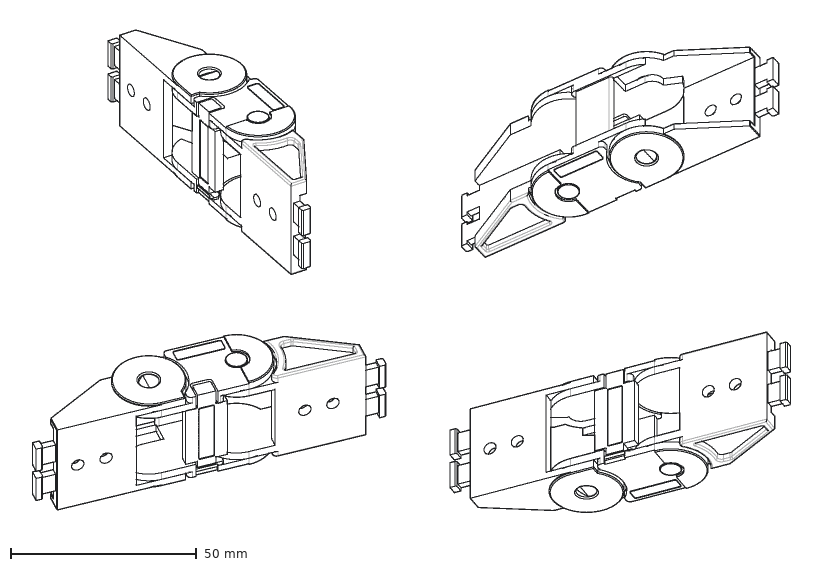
import cadquery as cq
import math

half_length = 50.2
left_hinge_x = -14.2
right_hinge_x = 10.8
knuckle_radius = 10.08
back_y = -knuckle_radius

inner_z = 10.0
split_z = 12.4
face_z = 14.4
disc_z = 15.0

plate_end_x = 44.2
plate_front_y = -7.2
slope_start_x = 26.3
shoulder_y = 5.0
end_height_y = -5.1
left_window_x = -21.5
right_window_x = 18.3
foot_reach = 6.9
left_relief_reach = 7.6
right_relief_reach = 7.0
relief_radius = 10.8
foot_fillet = 1.2
plate_edge_fillet = 0.5
end_chamfer = 0.2
disc_chamfer = 0.3

hole_radius = 1.76
left_holes_x = (-38.2, -30.1)
right_holes_x = (26.8, 34.8)

lug_z = (5.3, -5.2)
lug_head_width = 8.0
lug_neck_width = 6.0
lug_head_length = 2.0
lug_neck_y = (-9.2, -7.2)
lug_chamfer = 0.4

left_boss_radius = 2.8
left_hole_chamfer = 0.4
ramp_offset = 0.7
ramp_drop = 1.2
right_boss_radius = 3.0
right_boss_z = 14.7
right_boss_chamfer = 0.2
disc_recess_radius = 3.6

pocket_slope_margin = 1.5
pocket_low_y = -8.0
pocket_top_y = 2.5
pocket_end_x = 42.1
pocket_arc_radius = 13.3
pocket_low_radius = 0.4
pocket_top_radius = 1.2
pocket_rim_fillet = 0.5

bridge_x = (-9.3, 2.2)
bridge_y = (7.9, 9.6)
finger_top_y = 2.5
finger_round = 3.5
finger_rim_y = -3.2
finger_root_y = finger_top_y - finger_round
knuckle_step_x = -9.0
lip_y = 8.6
finger_shift = 1.2
label_length = 13.8
label_width = 3.6
label_center = (2.8, 7.3)
label_depth = 0.2
label_corner_radius = 0.5

latch_back_y = -9.78
latch_x = (-7.2, 4.7)
latch_z = (-9.4, 9.9)
neck_x = (-3.8, 1.4)
slot_x = (-4.3, 1.9)
slot_top_y = -4.7
tab_top_y = -5.6
slot_corner_radius = 0.9
tab_corner_radius = 0.6
tongue_z = -11.6
seat_z = -11.7
panel_width = 4.4
panel_length = 18.3
panel_depth = 0.3
panel_corner_radius = 0.4
rib_crest_z = (-12.7, -12.3)
rib_depth = 0.6
notch_z = -13.2


def box(x_range, y_range, z_range):
    """Axis-aligned block between pairs of limits."""
    (x0, x1), (y0, y1), (z0, z1) = x_range, y_range, z_range
    return cq.Workplane("XY").box(x1 - x0, y1 - y0, z1 - z0, centered=False).translate((x0, y0, z0))


def disc(x, radius, z0, z1):
    """Round disc about a hinge axis at X = x."""
    return cq.Workplane("XY", origin=(x, 0, z0)).circle(radius).extrude(z1 - z0)


def mirrored(upper):
    """The given shape together with its mirror image below Z = 0."""
    return upper.union(upper.mirror("XY"))


def slope_outline(side, inner_x):
    """Side outline of an end link; side is -1 for the left link and 1 for the right one."""
    return cq.Workplane("XY").polyline([
        (inner_x, back_y),
        (side * plate_end_x, back_y),
        (side * plate_end_x, end_height_y),
        (side * slope_start_x, shoulder_y),
        (inner_x, shoulder_y),
    ]).close()


def lugs(side):
    """Two T-shaped lugs that stand out from the end of a link."""
    head_x = sorted((side * half_length, side * (half_length - lug_head_length)))
    neck_ends = sorted((side * plate_end_x, side * (half_length - lug_head_length)))
    chamfered_edges = "|Z and >X" if side > 0 else "|Z and >X and <Y"
    pair = cq.Workplane("XY")
    for z in lug_z:
        head_limits = (z - lug_head_width / 2, z + lug_head_width / 2)
        neck_limits = (z - lug_neck_width / 2, z + lug_neck_width / 2)
        head = box(head_x, (back_y, plate_front_y), head_limits)
        pair = pair.union(head.edges(chamfered_edges).chamfer(lug_chamfer))
        pair = pair.union(box(neck_ends, lug_neck_y, neck_limits))
    return pair


def plate_holes(xs):
    """Round holes through the plate of an end link."""
    points = [(x, 0) for x in xs]
    return (cq.Workplane("XZ", origin=(0, plate_front_y, 0))
            .pushPoints(points).circle(hole_radius).extrude(plate_front_y - back_y))


def make_left_link():
    foot_x = left_hinge_x + foot_reach
    cheek = slope_outline(-1, left_hinge_x).extrude(face_z - split_z).translate((0, 0, split_z))
    foot = box((left_hinge_x, foot_x), (back_y, plate_front_y), (split_z, disc_z))
    raised_disc = disc(left_hinge_x, knuckle_radius, split_z, disc_z).union(foot)
    cheek = cheek.union(raised_disc.faces(">Z").edges().chamfer(disc_chamfer))
    hole = disc(left_hinge_x, left_boss_radius, split_z, disc_z)
    rim = disc(left_hinge_x, left_boss_radius + left_hole_chamfer, disc_z - left_hole_chamfer, disc_z)
    cheek = cheek.cut(hole).cut(rim.faces("<Z").edges().chamfer(0.99 * left_hole_chamfer))
    plate = box((-plate_end_x, left_window_x), (back_y, plate_front_y), (-face_z, face_z))
    plate = plate.cut(plate_holes(left_holes_x))
    link = plate.union(mirrored(cheek)).faces("<X").edges().chamfer(end_chamfer)
    return link.union(lugs(-1))


def pocket():
    """Triangular pocket sunk into the upper face, down to the split layer."""
    slope = (end_height_y - shoulder_y) / (plate_end_x - slope_start_x)
    shift = pocket_slope_margin * math.hypot(1, slope)
    end_y = shoulder_y - shift + slope * (pocket_end_x - slope_start_x)
    top_x = slope_start_x + (pocket_top_y - shoulder_y + shift) / slope

    def arc_x(y):
        return right_hinge_x + math.sqrt(pocket_arc_radius ** 2 - y ** 2)

    mid_y = (pocket_low_y + pocket_top_y) / 2
    outline = (cq.Workplane("XY")
               .moveTo(arc_x(pocket_low_y), pocket_low_y)
               .lineTo(pocket_end_x, pocket_low_y)
               .lineTo(pocket_end_x, end_y)
               .lineTo(top_x, pocket_top_y)
               .lineTo(arc_x(pocket_top_y), pocket_top_y)
               .threePointArc((arc_x(mid_y), mid_y), (arc_x(pocket_low_y), pocket_low_y))
               .close())
    block = outline.extrude(face_z - split_z).translate((0, 0, split_z))
    block = block.edges("|Z and <Y").fillet(pocket_low_radius)
    return block.edges("|Z and >Y").fillet(pocket_top_radius)


def make_right_link():
    relief_x = right_hinge_x + right_relief_reach
    outer = slope_outline(1, relief_x).extrude(face_z - split_z).translate((0, 0, split_z))
    outer = outer.cut(disc(right_hinge_x, relief_radius, split_z, face_z))
    foot_corner = cq.selectors.NearestToPointSelector((relief_x, back_y, (split_z + face_z) / 2))
    outer = outer.edges(foot_corner).fillet(foot_fillet)
    outer = outer.faces(">Z").edges().fillet(plate_edge_fillet)
    outer = outer.cut(pocket())
    rim = outer.faces(">Z").val().innerWires()[0]
    outer = outer.newObject(rim.Edges()).fillet(pocket_rim_fillet)
    inner = slope_outline(1, right_hinge_x).extrude(split_z - inner_z).translate((0, 0, inner_z))
    inner = inner.union(disc(right_hinge_x, knuckle_radius, inner_z, split_z))
    boss = disc(right_hinge_x, right_boss_radius, split_z, right_boss_z).faces(">Z").edges().chamfer(right_boss_chamfer)
    plate = box((right_window_x, plate_end_x), (back_y, plate_front_y), (-inner_z, inner_z))
    plate = plate.cut(plate_holes(right_holes_x))
    link = plate.union(mirrored(inner.union(outer).union(boss)))
    return link.union(lugs(1))


def middle_cheek():
    """Upper cheek of the middle link: an inner knuckle at the left, an outer one at the right."""
    relief_left_x = left_hinge_x + left_relief_reach
    relief_right_x = right_hinge_x - right_relief_reach
    sides = (back_y, knuckle_radius)

    outer = box((relief_left_x, right_hinge_x), sides, (split_z, face_z))
    outer = outer.edges("|Z and <X").fillet(foot_fillet)
    outer = outer.cut(disc(left_hinge_x, relief_radius, split_z, face_z))
    outer = outer.union(disc(right_hinge_x, knuckle_radius, split_z, face_z))
    half_disc = disc(right_hinge_x, knuckle_radius, face_z, disc_z)
    half_disc = half_disc.faces(">Z").edges().chamfer(disc_chamfer).cut(
        disc(right_hinge_x, disc_recess_radius, face_z, disc_z))
    outer = outer.union(half_disc.intersect(
        box((right_hinge_x, half_length), sides, (face_z, disc_z))))
    outer = outer.cut(disc(right_hinge_x, right_boss_radius, split_z, face_z))

    inner = box((left_hinge_x, relief_right_x), sides, (inner_z, split_z))
    inner = inner.edges("|Z and >X").fillet(foot_fillet)
    inner = inner.cut(disc(right_hinge_x, relief_radius, inner_z, split_z))
    inner = inner.union(disc(left_hinge_x, knuckle_radius, inner_z, split_z))
    inner = inner.cut(knuckle_opening())
    return inner.union(outer).union(ramped_boss())


def knuckle_opening():
    """Outer upper part of the left knuckle that is left open above a rounded finger."""
    round_x = left_hinge_x - finger_shift
    finger_end_x = round_x - finger_round
    rim_x = left_hinge_x - knuckle_radius
    mid = finger_round * math.sqrt(0.5)
    return (cq.Workplane("XY", origin=(0, 0, inner_z))
            .moveTo(rim_x, finger_rim_y)
            .lineTo(finger_end_x, finger_root_y)
            .threePointArc((round_x - mid, finger_root_y + mid), (round_x, finger_top_y))
            .lineTo(knuckle_step_x, finger_top_y)
            .lineTo(knuckle_step_x, lip_y)
            .lineTo(rim_x, lip_y)
            .close().extrude(split_z - inner_z))


def ramped_boss():
    """Snap boss of the left hinge, with a lead-in ramp on its outer side."""
    boss = disc(left_hinge_x, left_boss_radius, split_z, face_z)
    ramp_x = left_hinge_x - ramp_offset
    ramp_end_x = left_hinge_x - left_boss_radius
    ramp = (cq.Workplane("XZ", origin=(0, left_boss_radius, 0))
            .polyline([(ramp_x, face_z), (ramp_end_x, face_z), (ramp_end_x, face_z - ramp_drop)])
            .close().extrude(2 * left_boss_radius))
    return boss.cut(ramp)


def latch_seat():
    """Slot in the upper cheek and notch in the lower cheek that receive the latch."""
    slot = box(slot_x, (back_y, slot_top_y), (inner_z, face_z))
    slot = slot.edges("|Z and >Y").fillet(slot_corner_radius)
    notch = box((slot_x[0], right_hinge_x), (back_y, plate_front_y), (seat_z, -inner_z))
    rib_low_z, rib_high_z = rib_crest_z
    rib_root_y = back_y + rib_depth
    above_rib = (cq.Workplane("YZ", origin=(slot_x[0], 0, 0))
                 .polyline([(back_y, rib_high_z), (back_y, seat_z), (rib_root_y, seat_z)])
                 .close().extrude(right_hinge_x - slot_x[0]))
    below_rib = (cq.Workplane("YZ", origin=(slot_x[0], 0, 0))
                 .polyline([(back_y, rib_low_z), (rib_root_y, notch_z),
                            (rib_root_y, -face_z), (back_y, -face_z)])
                 .close().extrude(slot_x[1] - slot_x[0]))
    above_rib = above_rib.intersect(box((slot_x[0], right_hinge_x), (back_y, 0), (-split_z, seat_z)))
    recess = box(slot_x, (back_y, latch_back_y), (-face_z, -inner_z))
    return slot.union(notch).union(recess).union(above_rib).union(below_rib)


def make_middle_link():
    bridge_radius = (bridge_y[1] - bridge_y[0]) / 2
    rounded_x = bridge_x[0] + bridge_radius
    rounded_end = (cq.Workplane("XY", origin=(rounded_x, bridge_y[0] + bridge_radius, -inner_z))
                   .circle(bridge_radius).extrude(2 * inner_z))
    bridge = box((rounded_x, bridge_x[1]), bridge_y, (-inner_z, inner_z)).union(rounded_end)
    label = (cq.Workplane("XY", origin=(*label_center, face_z - label_depth))
             .rect(label_length, label_width).extrude(label_depth)
             .edges("|Z").fillet(label_corner_radius))
    link = mirrored(middle_cheek().cut(label)).union(bridge)
    return link.cut(latch_seat())


def make_latch():
    bar = box(latch_x, (latch_back_y, plate_front_y), latch_z)
    tab = box(neck_x, (latch_back_y, tab_top_y), (inner_z, face_z))
    tab = tab.edges("|Z and >Y").fillet(tab_corner_radius)
    neck = box(neck_x, (latch_back_y, plate_front_y), (tongue_z, inner_z))
    center_x = (neck_x[0] + neck_x[1]) / 2
    center_z = (latch_z[0] + latch_z[1]) / 2
    panel = (cq.Workplane("XZ", origin=(center_x, latch_back_y + panel_depth, center_z))
             .rect(panel_width, panel_length).extrude(panel_depth)
             .edges("|Y").fillet(panel_corner_radius))
    return bar.union(neck).union(tab).cut(panel)


left_link = make_left_link()
middle_link = make_middle_link()
right_link = make_right_link()
latch = make_latch()

result = cq.Compound.makeCompound([
    left_link.val(),
    middle_link.val(),
    right_link.val(),
    latch.val(),
])